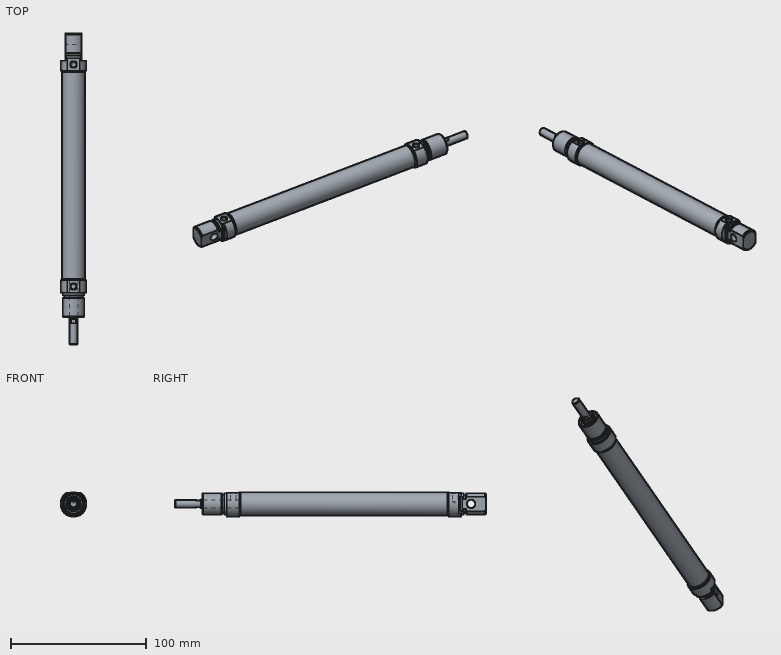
import cadquery as cq
import math


rear_end = 114.5
rod_end = -114.5
rear_barrel_end = 85.9
front_barrel_end = -66.0

barrel_diameter = 17.2
neck_length = 1.4
collar_diameter = 19.0
collar_length = 9.0
spigot_diameter = 16.0
spigot_chamfer = 1.0
undercut_diameter = 13.7
undercut_offset = 2.0
undercut_length = 2.0
undercut_slope = 0.7

port_flat_height = 8.2
port_diameter = 4.1
port_mouth_diameter = 5.0
port_depth = 6.2
drill_point_angle = 118.0

clevis_width = 12.0
clevis_flat_length = 20.0
relief_width = 1.4
relief_height = 10.3
relief_depth = 0.5
pivot_diameter = 6.0
pivot_offset = 11.0

rod_diameter = 6.0
rod_projection = 20.0
rod_chamfer = 0.5
wrench_width = 5.0
wrench_flat_length = 3.0
wrench_flat_offset = 1.4
lip_base_diameter = 7.0
lip_tip_diameter = 6.5
lip_projection = 1.0
recess_mouth_diameter = 11.0
recess_floor_diameter = 9.0
recess_depth = 1.0

rear_collar_start = rear_barrel_end + neck_length
rear_collar_end = rear_collar_start + collar_length
rear_spigot_length = rear_end - rear_collar_end
front_collar_start = front_barrel_end - neck_length
front_collar_end = front_collar_start - collar_length
front_face = rod_end + rod_projection
front_spigot_length = front_collar_end - front_face
lip_tip = front_face - lip_projection


def revolve_about_y(points):
    """Solid of revolution about the Y axis from (radius, y) points."""
    profile = [(y, radius) for radius, y in points]
    return cq.Workplane("YZ").polyline(profile).close().revolve(360, (0, 0, 0), (1, 0, 0))


def cylinder_along_y(diameter, start, end):
    return revolve_about_y([(0, start), (diameter / 2, start), (diameter / 2, end), (0, end)])


def port_tool(y):
    """Blind drilled hole with a countersunk mouth, entering from the flat at the top."""
    radius = port_diameter / 2
    mouth_radius = port_mouth_diameter / 2
    floor = port_flat_height - port_depth
    point_length = radius / math.tan(math.radians(drill_point_angle / 2))
    profile = [
        (0, floor - point_length),
        (radius, floor),
        (radius, port_flat_height - (mouth_radius - radius)),
        (mouth_radius, port_flat_height),
        (0, port_flat_height),
    ]
    tool = cq.Workplane("XZ").polyline(profile).close().revolve(360, (0, 0, 0), (0, 1, 0))
    return tool.translate((0, y, 0))


def make_head(barrel_end, direction, spigot_length):
    """Turned head with its port; direction is the Y sense in which it points away from the barrel."""
    collar_start = neck_length
    collar_end = collar_start + collar_length
    undercut_start = collar_end + undercut_offset
    undercut_end = undercut_start + undercut_length
    face = collar_end + spigot_length
    neck_radius = barrel_diameter / 2
    collar_radius = collar_diameter / 2
    spigot_radius = spigot_diameter / 2
    undercut_radius = undercut_diameter / 2
    profile = [
        (0, 0),
        (neck_radius, 0),
        (neck_radius, collar_start),
        (collar_radius, collar_start),
        (collar_radius, collar_end),
        (spigot_radius, collar_end),
        (spigot_radius, undercut_start),
        (undercut_radius, undercut_start),
        (undercut_radius, undercut_end - undercut_slope),
        (spigot_radius, undercut_end),
        (spigot_radius, face - spigot_chamfer),
        (spigot_radius - spigot_chamfer, face),
        (0, face),
    ]
    head = revolve_about_y([(radius, barrel_end + direction * s) for radius, s in profile])

    collar_middle = barrel_end + direction * (collar_start + collar_length / 2)
    flat_cut = (
        cq.Workplane("XY")
        .box(collar_diameter, collar_length, collar_diameter, centered=(True, True, False))
        .translate((0, collar_middle, port_flat_height))
    )
    return head.cut(flat_cut).cut(port_tool(collar_middle))


def make_rear_head():
    head = make_head(rear_barrel_end, 1, rear_spigot_length)

    flat_middle = rear_end - clevis_flat_length / 2
    for side in (-1, 1):
        side_cut = (
            cq.Workplane("XY")
            .box(collar_diameter, clevis_flat_length, 2 * collar_diameter)
            .translate((side * (clevis_width + collar_diameter) / 2, flat_middle, 0))
        )
        head = head.cut(side_cut)

    relief_cut = (
        cq.Workplane("XY")
        .box(clevis_width, relief_width, relief_height)
        .cut(cq.Workplane("XY").box(clevis_width - 2 * relief_depth, relief_width, relief_height))
        .translate((0, rear_collar_end, 0))
    )
    head = head.cut(relief_cut)

    pivot = (
        cq.Workplane("YZ")
        .center(rear_end - pivot_offset, 0)
        .circle(pivot_diameter / 2)
        .extrude(collar_diameter, both=True)
    )
    return head.cut(pivot)


def make_front_head():
    head = make_head(front_barrel_end, -1, front_spigot_length)

    recess_floor = front_face + recess_depth
    recess = revolve_about_y([
        (0, front_face),
        (recess_mouth_diameter / 2, front_face),
        (recess_floor_diameter / 2, recess_floor),
        (0, recess_floor),
    ])
    lip = revolve_about_y([
        (0, recess_floor),
        (lip_base_diameter / 2, recess_floor),
        (lip_tip_diameter / 2, lip_tip),
        (0, lip_tip),
    ])
    rod_hole = cylinder_along_y(rod_diameter, lip_tip, front_barrel_end)
    return head.cut(recess).union(lip).cut(rod_hole)


def make_rod():
    rod = cylinder_along_y(rod_diameter, rod_end, front_barrel_end)
    rod = rod.faces("<Y").chamfer(rod_chamfer)

    flat_middle = front_face - wrench_flat_offset - wrench_flat_length / 2
    for side in (-1, 1):
        flat_cut = (
            cq.Workplane("XY")
            .box(rod_diameter, wrench_flat_length, rod_diameter)
            .translate((0, flat_middle, side * (wrench_width + rod_diameter) / 2))
        )
        rod = rod.cut(flat_cut)
    return rod


barrel = cylinder_along_y(barrel_diameter, front_barrel_end, rear_barrel_end)
rear_head = make_rear_head()
front_head = make_front_head()
rod = make_rod()

result = cq.Compound.makeCompound([barrel.val(), rear_head.val(), front_head.val(), rod.val()])